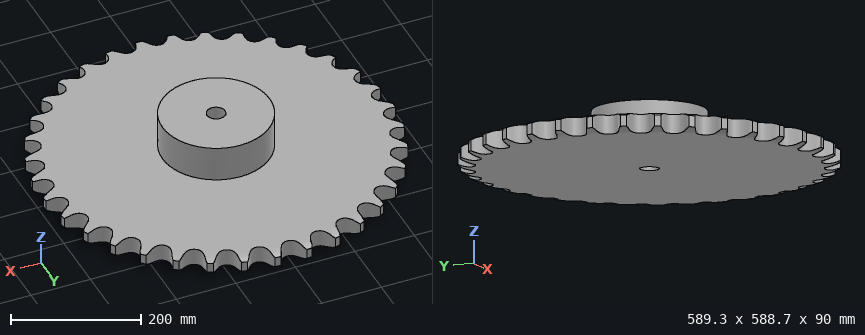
import cadquery as cq
import math

tooth_count = 35
chain_pitch = 50.8
roller_diameter = 29.21
wheel_thickness = 29.4
tip_radius = 294.752

side_radius = chain_pitch
side_inset = 6.0
flat_face_radius = tip_radius - math.sqrt(2 * side_radius * side_inset - side_inset**2)

hub_diameter = 180.0
total_height = 90.0
bore_diameter = 30.0

pitch_radius = chain_pitch / 2 / math.sin(math.pi / tooth_count)
tooth_angle = 360 / tooth_count
first_gap_angle = 90.0

overcut = 3.0
gap_end_radius = tip_radius + overcut

clearance = 0.0381
seat_ratio = 0.5025
working_ratio = 1.3025
working_offset_ratio = 0.8
tip_offset_ratio = 1.4
seat_end_angle = math.radians(35 + 60 / tooth_count)
working_angle = math.radians(18 - 56 / tooth_count)
tip_start_angle = math.radians(17 - 64 / tooth_count)
flank_angle = seat_end_angle - working_angle

seat_radius = seat_ratio * roller_diameter + clearance
working_radius = working_ratio * roller_diameter + clearance
flank_length = roller_diameter * (
    tip_offset_ratio * math.sin(tip_start_angle) - working_offset_ratio * math.sin(working_angle)
)
tip_arc_reach = tip_offset_ratio * math.cos(tip_start_angle) + working_offset_ratio * math.cos(working_angle)
tip_arc_radius = roller_diameter * tip_arc_reach - working_radius


def wheel_blank():
    """Disc whose rim narrows towards the tooth tips along an arc on each face."""
    half_thickness = wheel_thickness / 2

    def rim_height(radius):
        reach = radius - flat_face_radius
        return half_thickness - side_radius + math.sqrt(side_radius**2 - reach**2)

    middle_radius = (flat_face_radius + tip_radius) / 2
    tip_height = rim_height(tip_radius)
    middle_height = rim_height(middle_radius)
    return (
        cq.Workplane("XZ")
        .moveTo(0, -half_thickness)
        .lineTo(flat_face_radius, -half_thickness)
        .threePointArc((middle_radius, -middle_height), (tip_radius, -tip_height))
        .lineTo(tip_radius, tip_height)
        .threePointArc((middle_radius, middle_height), (flat_face_radius, half_thickness))
        .lineTo(0, half_thickness)
        .close()
        .revolve(360, (0, 0, 0), (0, 1, 0))
        .translate((0, 0, half_thickness))
    )


def arc_point(centre, radius, angle):
    """Point on an arc; the angle turns from +Y towards -X."""
    return (centre[0] - radius * math.sin(angle), centre[1] + radius * math.cos(angle))


def mirrored(point):
    return (point[0], -point[1])


def tooth_gap():
    """Cutter for one gap, lying along +X and symmetric about the X axis."""
    seat_centre = (pitch_radius, 0)
    seat_bottom = (pitch_radius - seat_radius, 0)
    seat_middle = arc_point(seat_centre, seat_radius, (seat_end_angle + math.pi / 2) / 2)
    seat_end = arc_point(seat_centre, seat_radius, seat_end_angle)

    working_centre = arc_point(seat_centre, seat_radius - working_radius, seat_end_angle)
    working_middle = arc_point(working_centre, working_radius, seat_end_angle - working_angle / 2)
    working_end = arc_point(working_centre, working_radius, flank_angle)

    flank_end = (
        working_end[0] + flank_length * math.cos(flank_angle),
        working_end[1] + flank_length * math.sin(flank_angle),
    )

    tip_centre = arc_point(flank_end, tip_arc_radius, flank_angle)

    def tip_arc_point(x):
        rise = x - tip_centre[0]
        return (x, tip_centre[1] - math.sqrt(tip_arc_radius**2 - rise**2))

    tip_middle = tip_arc_point((flank_end[0] + gap_end_radius) / 2)
    tip_end = tip_arc_point(gap_end_radius)

    return (
        cq.Workplane("XY")
        .moveTo(*seat_bottom)
        .threePointArc(seat_middle, seat_end)
        .threePointArc(working_middle, working_end)
        .lineTo(*flank_end)
        .threePointArc(tip_middle, tip_end)
        .lineTo(*mirrored(tip_end))
        .threePointArc(mirrored(tip_middle), mirrored(flank_end))
        .lineTo(*mirrored(working_end))
        .threePointArc(mirrored(working_middle), mirrored(seat_end))
        .threePointArc(mirrored(seat_middle), seat_bottom)
        .close()
        .extrude(wheel_thickness + 2 * overcut, clean=False)
        .translate((0, 0, -overcut))
    )


def cut_teeth(blank):
    gap = tooth_gap().val()
    gaps = []
    for index in range(tooth_count):
        angle = first_gap_angle + index * tooth_angle
        gaps.append(gap.rotate(cq.Vector(0, 0, 0), cq.Vector(0, 0, 1), angle))
    return blank.cut(cq.Compound.makeCompound(gaps), clean=False)


def add_hub(wheel):
    hub = cq.Workplane("XY").circle(hub_diameter / 2).extrude(total_height)
    return wheel.union(hub, clean=False)


def cut_bore(body):
    bore = cq.Workplane("XY").circle(bore_diameter / 2).extrude(total_height)
    return body.cut(bore, clean=False)


result = cut_bore(add_hub(cut_teeth(wheel_blank())))